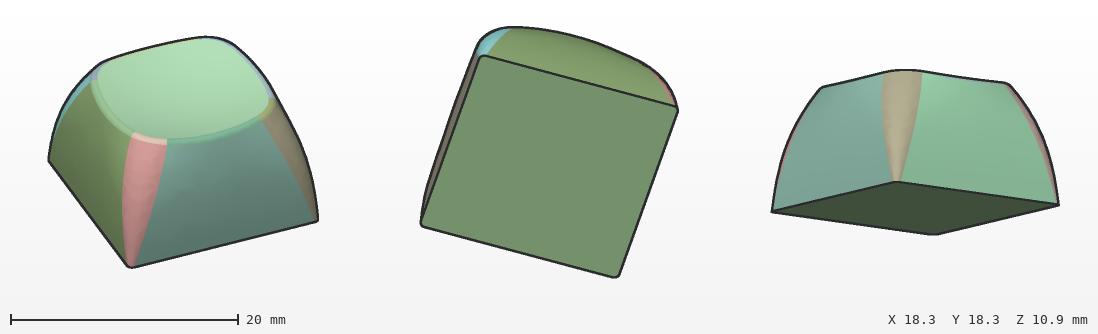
import cadquery as cq
import math

base_width = 18.26
side_count = 4
base_corner_radius = 0.5
reference_height = 10.5
top_half_width = 7.52
top_seam_half_span = 4.55
top_side_bulge = 0.55
seam_span_initial_slope = 0.301
wall_curve_power = 2.7

section_count = 5
blank_height = 11.6

dish_radius = 27.5
dish_floor_height = 9.71
rim_fillet_radius = 0.6

base_half_width = base_width / 2
base_seam_half_span = base_half_width - base_corner_radius


def wall_lean(height):
    """Share of the inward lean reached at a height: 0 at the base, 1 at the reference height."""
    return (height / reference_height) ** wall_curve_power


def seam_half_span(height):
    """Half length of a side arc, narrowing quadratically with height."""
    linear_drop = seam_span_initial_slope * reference_height
    quadratic_drop = base_seam_half_span - top_seam_half_span - linear_drop
    share = height / reference_height
    return base_seam_half_span - linear_drop * share - quadratic_drop * share**2


def rotated(point, quarter_turns, height):
    """Point of the side facing +Y, moved to another side by quarter turns."""
    angle = quarter_turns * math.pi / 2
    x, y = point
    return cq.Vector(
        x * math.cos(angle) - y * math.sin(angle),
        x * math.sin(angle) + y * math.cos(angle),
        height,
    )


def section_wire(height):
    """Closed outline at a height: four bulged sides joined by tangent corner arcs."""
    half_width = base_half_width - (base_half_width - top_half_width) * wall_lean(height)
    bulge = top_side_bulge * wall_lean(height)
    half_span = seam_half_span(height)
    seam_level = half_width - bulge

    side_end_angle = 2 * math.atan2(bulge, half_span)
    corner_turn = math.pi / 2 - 2 * side_end_angle
    corner_chord = (seam_level - half_span) * math.sqrt(2)
    corner_sagitta = corner_chord / 2 * math.tan(corner_turn / 4)
    corner_mid = (half_span + seam_level) / 2 + corner_sagitta / math.sqrt(2)

    edges = []
    for turn in range(side_count):
        right_seam = rotated((half_span, seam_level), turn, height)
        side_mid = rotated((0, half_width), turn, height)
        left_seam = rotated((-half_span, seam_level), turn, height)
        corner = rotated((-corner_mid, corner_mid), turn, height)
        next_seam = rotated((half_span, seam_level), turn + 1, height)
        if bulge > 0:
            edges.append(cq.Edge.makeThreePointArc(right_seam, side_mid, left_seam))
        else:
            edges.append(cq.Edge.makeLine(right_seam, left_seam))
        edges.append(cq.Edge.makeThreePointArc(left_seam, corner, next_seam))
    return cq.Wire.assembleEdges(edges)


def body():
    """Smooth loft through evenly spaced sections."""
    step = blank_height / (section_count - 1)
    wires = [section_wire(index * step) for index in range(section_count)]
    return cq.Workplane().newObject([cq.Solid.makeLoft(wires)])


def dish():
    """Ball whose lowest point is the floor of the finger dish.

    Its poles lie along Y, which keeps them and the surface seam clear of the dish.
    """
    ball = cq.Workplane("XZ").sphere(dish_radius)
    return ball.translate((0, 0, dish_floor_height + dish_radius))


def fillet_rim(dished_body):
    """Round the edge where the dish meets the walls."""
    dish_face = cq.selectors.NearestToPointSelector((0, 0, dish_floor_height))
    return dished_body.faces(dish_face).edges().fillet(rim_fillet_radius)


result = fillet_rim(body().cut(dish()))